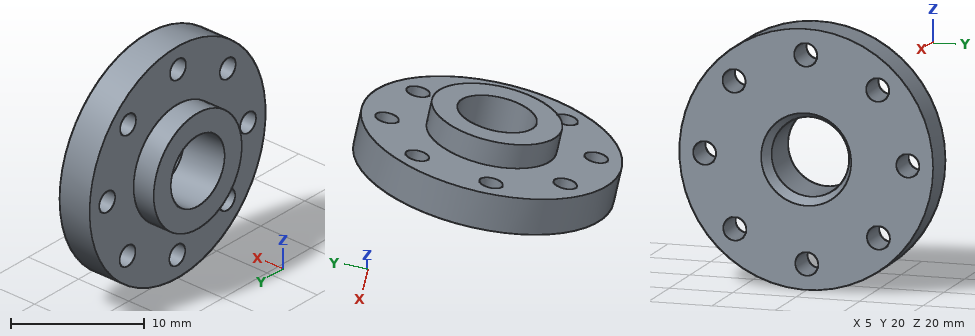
import cadquery as cq

flange_diameter = 20.0
flange_thickness = 3.0
hub_diameter = flange_diameter / 2
hub_length = 2.0
bore_diameter = 6.1
bore_flare_depth = 1.0
bore_flare_widening = 0.5
bolt_hole_count = 8
bolt_hole_diameter = 1.8
bolt_circle_radius = 8.0
bolt_pattern_turn = 0.3

total_length = hub_length + flange_thickness


def cylinder_along_x(diameter, start_x, length):
    """Cylinder on the X axis, growing from start_x toward +X."""
    return cq.Workplane("YZ", origin=(start_x, 0, 0)).circle(diameter / 2).extrude(length)


flange = cylinder_along_x(flange_diameter, 0, flange_thickness)
hub = cylinder_along_x(hub_diameter, -hub_length, hub_length)

bore = cylinder_along_x(bore_diameter, -hub_length, total_length)

bore_radius = bore_diameter / 2
bore_flare = (
    cq.Workplane("YZ", origin=(flange_thickness - bore_flare_depth, 0, 0))
    .circle(bore_radius)
    .workplane(offset=bore_flare_depth)
    .circle(bore_radius + bore_flare_widening)
    .loft()
)

bolt_holes = (
    cq.Workplane("YZ")
    .polarArray(bolt_circle_radius, bolt_pattern_turn, 360, bolt_hole_count)
    .circle(bolt_hole_diameter / 2)
    .extrude(flange_thickness)
)

result = flange.union(hub).cut(bore).cut(bore_flare).cut(bolt_holes)